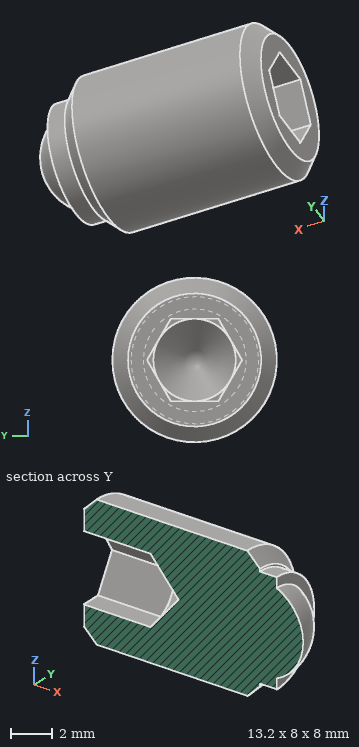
import cadquery as cq
import math

total_length = 13.2
body_radius = 8.0 / 2
body_length = 10.6
body_chamfer = 0.77

collar_radius = 6.18 / 2
collar_length = 1.0

ball_radius = 2.75

socket_across_flats = 4.0
socket_depth = 4.0
drill_point_angle = 100.0

back_face = -total_length / 2
ball_pole = total_length / 2
body_front = back_face + body_length
collar_front = body_front + collar_length
ball_center = ball_pole - ball_radius


def ball_height(x):
    """Radius of the ball's cross-section at position x on the axis."""
    return math.sqrt(ball_radius**2 - (x - ball_center) ** 2)


def make_plunger():
    """Chamfered body, collar and ball as one profile turned about the X axis."""
    chamfered_radius = body_radius - body_chamfer
    arc_middle = (collar_front + ball_pole) / 2
    profile = (
        cq.Workplane("XY")
        .moveTo(back_face, 0)
        .lineTo(back_face, chamfered_radius)
        .lineTo(back_face + body_chamfer, body_radius)
        .lineTo(body_front - body_chamfer, body_radius)
        .lineTo(body_front, chamfered_radius)
        .lineTo(body_front, collar_radius)
        .lineTo(collar_front, collar_radius)
        .lineTo(collar_front, ball_height(collar_front))
        .threePointArc((arc_middle, ball_height(arc_middle)), (ball_pole, 0))
        .close()
    )
    return profile.revolve(360, (0, 0, 0), (1, 0, 0))


def cut_hexagon(part):
    """Hexagon socket in the back face, with flats at top and bottom."""
    across_corners = socket_across_flats / math.cos(math.pi / 6)
    hexagon = (
        cq.Workplane("YZ", origin=(back_face, 0, 0))
        .polygon(6, across_corners)
        .extrude(socket_depth)
    )
    return part.cut(hexagon)


def cut_drill_point(part):
    """Cone sunk into the socket floor, as wide as the hexagon's flats."""
    drill_radius = socket_across_flats / 2
    cone_depth = drill_radius / math.tan(math.radians(drill_point_angle / 2))
    socket_floor = back_face + socket_depth
    cone = (
        cq.Workplane("XY")
        .moveTo(socket_floor, 0)
        .lineTo(socket_floor, drill_radius)
        .lineTo(socket_floor + cone_depth, 0)
        .close()
        .revolve(360, (0, 0, 0), (1, 0, 0))
    )
    return part.cut(cone)


result = cut_drill_point(cut_hexagon(make_plunger()))